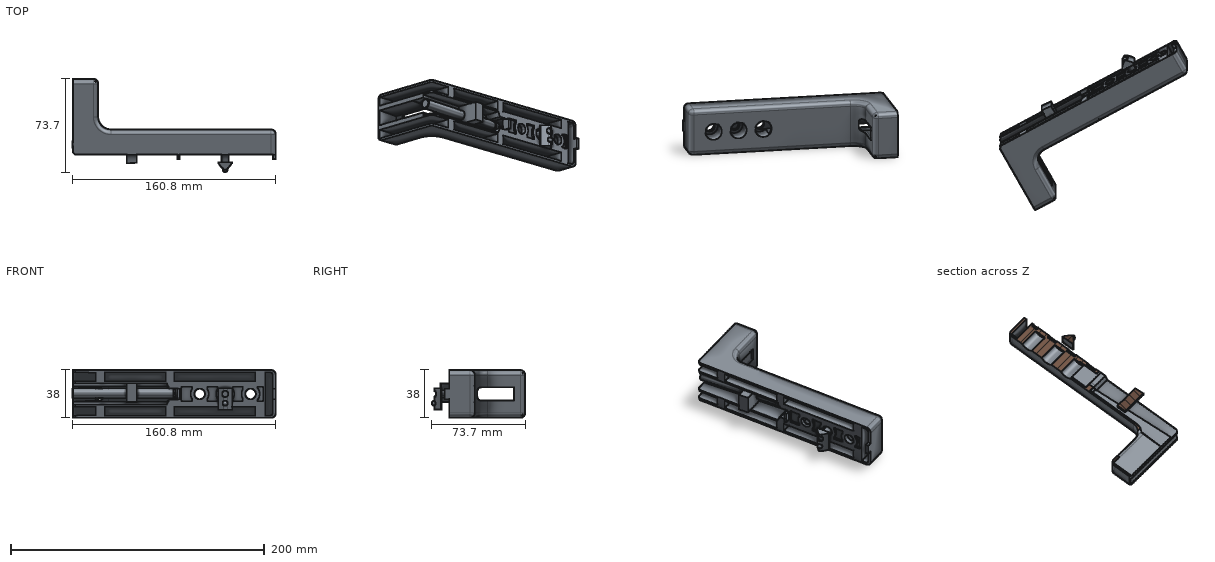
import cadquery as cq
import math


LENGTH = 160.3
LEG_LENGTH = 60.0
ARM_THICKNESS = 20.1
HEIGHT = 38.0
ROUND_RADIUS = 4.0
BEND_RADIUS = 10.0
CORNER_CHAMFER = 2.0
PICK_MARGIN = 0.2
WALL = 2.0
FLOOR_Y = ARM_THICKNESS - WALL
LEG_END_Y = LEG_LENGTH - WALL

POCKET_BOTTOM_Z = 10.0
POCKET_TOP_Z = HEIGHT / 2 - WALL
POCKET_DRAFT = 0.2
ARM_POCKETS = [(25.2, 73.3), (79.9, 144.0)]

END_POCKET_START = 152.1
END_POCKET_END = 157.9
END_POCKET_RADIUS = 2.1

CHANNEL_HALF = 6.1
CHANNEL_INNER_HALF = 5.1
TAPER_START_Y = 21.5
CHANNEL_END = 74.1
INNER_BEND_RADIUS = 9.6
LEDGE_START_Y = 9.6
LEDGE_HALF = 8.5
TAPER_END = 76.0
NECK_HALF = 4.7
NECK_FLOOR_HALF = 4.2
NECK_BEND_Y = 12.0
NECK_END = 80.7
NOTCH_HALF = 4.5
NOTCH_END = 82.5
NOTCH_DEPTH = 3.2

WINDOW_END_X = 23.8
WINDOW_TOP_Y = 51.1
WINDOW_RADIUS = 2.9

HOLE_DIAMETER = 8.2
COUNTERBORE_DIAMETER = 13.0
HOLE_PLATE = 4.0
HOLE_PITCH = 20.1
HOLE_MIDDLE_X = 120.3
HOLE_XS = [HOLE_MIDDLE_X + step * HOLE_PITCH for step in (-1, 0, 1)]
RECESSES = [(85.7, 94.2), (106.3, 114.3), (126.2, 134.3), (145.7, 150.3)]
RECESS_HALF = 5.6
RECESS_DEPTH = 2.0
RECESS_RING_DIAMETER = 14.3
RECESS_RADIUS = 0.6

TAB_HALF = 4.2
TAB_PROJECTION = 3.5
TABS = [(NOTCH_END, 84.4), (END_POCKET_END, LENGTH)]

BOLT_DIAMETER = 7.7
BOLT_LENGTH = 83.6
GROOVE_START = 79.8
GROOVE_WIDTH = 1.3
GROOVE_DIAMETER = 6.8
BOLT_CHAMFER = 0.5
BOLT_TILT = 3.5
BOLT_START_X = -0.3
BOLT_START_Y = 7.0
BOLT_Z = 0.56
BLOCK_START = 42.5
BLOCK_WIDTH = 8.2
BLOCK_FRONT_Y = -6.9
BLOCK_BACK_Y = 15.5
BLOCK_TOP_Z = 8.4
BLOCK_BOTTOM_Z = -6.5

POST_DIAMETER = 6.0
HEAD_HALF = 5.5
HEAD_BACK_Y = -5.8
HEAD_RIM_Y = -6.6
HEAD_NECK_Y = -11.1
HEAD_BULGE = 0.2
RIDGE_HALF = 1.6
RIDGE_Y = -11.9
HEAD_TOP_Z = 4.7
HEAD_BOTTOM_Z = -12.4
DIMPLE_DIAMETER = 5.0
DIMPLE_FLOOR_Y = -10.5
BALL_DIAMETER = 4.0
BALL_Y = -11.7
BALL_Z = -7.4


def block(x0, x1, y0, y1, z0, z1):
    """Box between two opposite corners."""
    return cq.Workplane("XY").box(x1 - x0, y1 - y0, z1 - z0, centered=False).translate((x0, y0, z0))


def prism_z(outline, half_height):
    """XY outline extruded to both sides of mid height."""
    return outline.close().extrude(half_height, both=True)


def rod_y(diameter, x, z, y0, y1):
    """Round bar along Y from y0 to y1."""
    return cq.Workplane("XZ", origin=(x, y0, z)).circle(diameter / 2).extrude(y0 - y1)


def ledge_y(x):
    """Depth of the channel ledge, which slopes with the bolt."""
    return LEDGE_START_Y + x * math.tan(math.radians(BOLT_TILT))


def outer_shape():
    """L-shaped block with its back and end edges rounded, the open edges left sharp."""
    leg_width = ARM_THICKNESS
    profile = (
        cq.Workplane("XY")
        .moveTo(CORNER_CHAMFER, 0)
        .lineTo(LENGTH, 0)
        .lineTo(LENGTH, ARM_THICKNESS)
        .lineTo(leg_width + BEND_RADIUS, ARM_THICKNESS)
        .radiusArc((leg_width, ARM_THICKNESS + BEND_RADIUS), BEND_RADIUS)
        .lineTo(leg_width, LEG_LENGTH)
        .lineTo(0, LEG_LENGTH)
        .lineTo(0, CORNER_CHAMFER)
    )
    body = prism_z(profile, HEIGHT / 2)
    for x, y in [(LENGTH, ARM_THICKNESS), (leg_width, LEG_LENGTH)]:
        corner = cq.selectors.BoxSelector(
            (x - PICK_MARGIN, y - PICK_MARGIN, -PICK_MARGIN), (x + PICK_MARGIN, y + PICK_MARGIN, PICK_MARGIN)
        )
        body = body.edges(corner).fillet(ROUND_RADIUS)
    back_edges = cq.selectors.BoxSelector(
        (CORNER_CHAMFER, CORNER_CHAMFER, -HEIGHT), (LENGTH + PICK_MARGIN, LEG_LENGTH + PICK_MARGIN, HEIGHT)
    )
    return body.faces("<Z or >Z").edges(back_edges).fillet(ROUND_RADIUS)


def relief_pockets(side):
    """Pockets on one side of the channel: side is 1 above it and -1 below it."""
    leg_pocket = (
        cq.Workplane("XZ")
        .moveTo(0, POCKET_BOTTOM_Z)
        .lineTo(FLOOR_Y, POCKET_BOTTOM_Z + POCKET_DRAFT)
        .lineTo(FLOOR_Y, POCKET_TOP_Z - POCKET_DRAFT)
        .lineTo(0, POCKET_TOP_Z)
        .close()
        .extrude(-LEG_END_Y)
    )
    pockets = leg_pocket
    for start, end in ARM_POCKETS:
        pockets = pockets.union(block(start, end, 0, FLOOR_Y, POCKET_BOTTOM_Z, POCKET_TOP_Z))
    return pockets if side > 0 else pockets.mirror("XY")


def end_pocket():
    pocket = block(END_POCKET_START, END_POCKET_END, 0, FLOOR_Y, -POCKET_TOP_Z, POCKET_TOP_Z)
    return pocket.edges("|Y and >X").fillet(END_POCKET_RADIUS)


def tapered_end(half_height, depth):
    """Channel end that narrows from half_height to the neck over the given depth."""
    return (
        cq.Workplane("XZ")
        .moveTo(CHANNEL_END, half_height)
        .lineTo(TAPER_END, NECK_HALF)
        .lineTo(TAPER_END, -NECK_HALF)
        .lineTo(CHANNEL_END, -half_height)
        .close()
        .extrude(-depth)
    )


def leg_channel():
    """Channel through the leg and round the bend. Past the bend it narrows away from the open side."""
    inner_x = FLOOR_Y
    side_outline = (
        cq.Workplane("XY")
        .moveTo(0, 0)
        .lineTo(inner_x + INNER_BEND_RADIUS, 0)
        .lineTo(inner_x + INNER_BEND_RADIUS, FLOOR_Y)
        .radiusArc((inner_x, FLOOR_Y + INNER_BEND_RADIUS), INNER_BEND_RADIUS)
        .lineTo(inner_x, LEG_END_Y)
        .lineTo(0, LEG_END_Y)
    )
    wedge = (
        cq.Workplane("XZ")
        .moveTo(0, CHANNEL_HALF)
        .lineTo(inner_x, CHANNEL_INNER_HALF)
        .lineTo(CHANNEL_END, CHANNEL_INNER_HALF)
        .lineTo(CHANNEL_END, -CHANNEL_INNER_HALF)
        .lineTo(inner_x, -CHANNEL_INNER_HALF)
        .lineTo(0, -CHANNEL_HALF)
        .close()
        .extrude(-LEG_END_Y)
    )
    straight = block(0, CHANNEL_END, 0, TAPER_START_Y, -CHANNEL_HALF, CHANNEL_HALF)
    return prism_z(side_outline, CHANNEL_HALF).intersect(wedge.union(straight))


def neck():
    """Narrow end of the channel, with the tunnel from it to the nearest hole."""
    trough = (
        cq.Workplane("YZ", origin=(CHANNEL_END, 0, 0))
        .polyline(
            [
                (0, NECK_HALF),
                (NECK_BEND_Y, NECK_HALF),
                (FLOOR_Y, NECK_FLOOR_HALF),
                (FLOOR_Y, -NECK_FLOOR_HALF),
                (NECK_BEND_Y, -NECK_HALF),
                (0, -NECK_HALF),
            ]
        )
        .close()
        .extrude(NECK_END - CHANNEL_END)
    )
    notch = block(NECK_END, NOTCH_END, 0, NOTCH_DEPTH, -NOTCH_HALF, NOTCH_HALF)
    tunnel = block(NECK_END, HOLE_XS[0], NOTCH_DEPTH, FLOOR_Y, -NOTCH_HALF, NOTCH_HALF)
    return trough.union(notch).union(tunnel)


def latch_channel():
    arm = block(0, CHANNEL_END, 0, FLOOR_Y, -CHANNEL_HALF, CHANNEL_HALF)
    ledge_outline = (
        cq.Workplane("XY")
        .moveTo(0, 0)
        .lineTo(CHANNEL_END, 0)
        .lineTo(CHANNEL_END, ledge_y(CHANNEL_END))
        .lineTo(0, ledge_y(0))
    )
    ledge = prism_z(ledge_outline, LEDGE_HALF)
    channel = arm.union(ledge).union(leg_channel()).union(neck())
    channel = channel.union(tapered_end(LEDGE_HALF, ledge_y(CHANNEL_END)))
    return channel.union(tapered_end(CHANNEL_HALF, FLOOR_Y))


def leg_window():
    opening = block(
        0, WINDOW_END_X, FLOOR_Y, WINDOW_TOP_Y, -CHANNEL_INNER_HALF, CHANNEL_INNER_HALF
    )
    return opening.edges("|Y and >X").fillet(WINDOW_RADIUS)


def hole_row():
    """Peg holes counterbored from the back."""
    holes = cq.Workplane("XY")
    for x in HOLE_XS:
        holes = holes.add(rod_y(HOLE_DIAMETER, x, 0, 0, ARM_THICKNESS))
        holes = holes.add(rod_y(COUNTERBORE_DIAMETER, x, 0, HOLE_PLATE, ARM_THICKNESS))
    return holes.combine()


def recesses():
    """Shallow front recesses, scalloped round a ring about each hole."""
    cuts = cq.Workplane("XY")
    for start, end in RECESSES:
        recess = block(start, end, 0, RECESS_DEPTH, -RECESS_HALF, RECESS_HALF)
        cuts = cuts.add(recess.edges("|Y").fillet(RECESS_RADIUS))
    cuts = cuts.combine()
    for x in HOLE_XS:
        cuts = cuts.cut(rod_y(RECESS_RING_DIAMETER, x, 0, 0, RECESS_DEPTH))
    return cuts


def make_housing():
    body = outer_shape()
    for side in (1, -1):
        body = body.cut(relief_pockets(side))
    for cut in (end_pocket(), latch_channel(), leg_window(), hole_row(), recesses()):
        body = body.cut(cut)
    for start, end in TABS:
        body = body.union(block(start, end, -TAB_PROJECTION, WALL, -TAB_HALF, TAB_HALF))
    return body


def make_bolt():
    """Round bolt that leans deeper into the channel towards the neck.

    It is chamfered at its outer end and grooved near its inner end.
    """
    bolt = cq.Workplane("YZ").circle(BOLT_DIAMETER / 2).extrude(BOLT_LENGTH)
    bolt = bolt.faces("<X").chamfer(BOLT_CHAMFER)
    groove = (
        cq.Workplane("YZ", origin=(GROOVE_START, 0, 0))
        .circle(BOLT_DIAMETER)
        .circle(GROOVE_DIAMETER / 2)
        .extrude(GROOVE_WIDTH)
    )
    bolt = bolt.cut(groove)
    bolt = bolt.rotate((0, 0, 0), (0, 0, 1), BOLT_TILT)
    return bolt.translate((BOLT_START_X, BOLT_START_Y, BOLT_Z))


def make_latch():
    """Bolt with a finger block whose stem runs between the channel walls."""
    block_end = BLOCK_START + BLOCK_WIDTH
    front_rise = BLOCK_WIDTH * math.tan(math.radians(BOLT_TILT))
    grip = (
        cq.Workplane("XY", origin=(0, 0, BLOCK_BOTTOM_Z))
        .moveTo(BLOCK_START, BLOCK_FRONT_Y)
        .lineTo(block_end, BLOCK_FRONT_Y + front_rise)
        .lineTo(block_end, ledge_y(block_end))
        .lineTo(BLOCK_START, ledge_y(BLOCK_START))
        .close()
        .extrude(BLOCK_TOP_Z - BLOCK_BOTTOM_Z)
    )
    stem = block(BLOCK_START, block_end, LEDGE_START_Y, BLOCK_BACK_Y, -CHANNEL_HALF, CHANNEL_HALF)
    return make_bolt().union(grip).union(stem)


def peg_head():
    """Arrow-shaped bar with slightly bulging flanks and a round ridge."""
    flank_x = (HEAD_HALF + RIDGE_HALF) / 2 + HEAD_BULGE
    flank_y = (HEAD_RIM_Y + HEAD_NECK_Y) / 2 - HEAD_BULGE
    return (
        cq.Workplane("XY", origin=(HOLE_MIDDLE_X, 0, HEAD_BOTTOM_Z))
        .moveTo(-HEAD_HALF, HEAD_BACK_Y)
        .lineTo(-HEAD_HALF, HEAD_RIM_Y)
        .threePointArc((-flank_x, flank_y), (-RIDGE_HALF, HEAD_NECK_Y))
        .threePointArc((0, RIDGE_Y), (RIDGE_HALF, HEAD_NECK_Y))
        .threePointArc((flank_x, flank_y), (HEAD_HALF, HEAD_RIM_Y))
        .lineTo(HEAD_HALF, HEAD_BACK_Y)
        .close()
        .extrude(HEAD_TOP_Z - HEAD_BOTTOM_Z)
    )


def make_peg():
    post = rod_y(POST_DIAMETER, HOLE_MIDDLE_X, 0, HEAD_BACK_Y, HOLE_PLATE)
    dimple = rod_y(DIMPLE_DIAMETER, HOLE_MIDDLE_X, 0, RIDGE_Y, DIMPLE_FLOOR_Y)
    ball = cq.Workplane("XY").sphere(BALL_DIAMETER / 2).translate((HOLE_MIDDLE_X, BALL_Y, BALL_Z))
    ball_base = rod_y(BALL_DIAMETER, HOLE_MIDDLE_X, BALL_Z, BALL_Y, DIMPLE_FLOOR_Y)
    return peg_head().cut(dimple).union(post).union(ball_base).union(ball)


housing = make_housing()
latch = make_latch()
peg = make_peg()

result = cq.Compound.makeCompound([housing.val(), latch.val(), peg.val()])